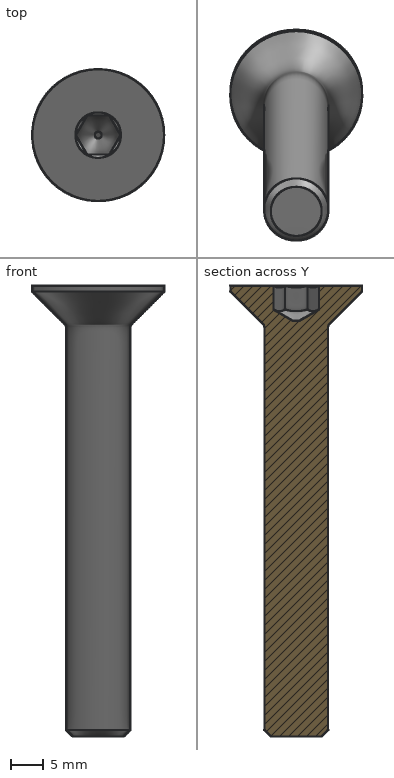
import cadquery as cq
import math

length = 70.0
head_diameter = 20.5
shank_diameter = 10.0
head_rim_height = 0.9
neck_fillet_radius = 0.55
tip_chamfer = 1.05

socket_across_flats = 6.0
socket_mouth_diameter = 7.1
socket_depth = 3.7
floor_cone_angle = 120.0
floor_flat_diameter = 1.05
mouth_cone_angle = 120.0

z_top = length / 2
z_bottom = -length / 2
head_radius = head_diameter / 2
shank_radius = shank_diameter / 2


def make_body():
    """Revolve the screw outline; the 45 degree head blends into the shank."""
    diagonal = math.sin(math.radians(45))
    neck_start_radius = shank_radius + neck_fillet_radius * (1 - diagonal)
    rim_bottom = z_top - head_rim_height
    neck_start = rim_bottom - (head_radius - neck_start_radius)
    neck_end = neck_start - neck_fillet_radius * diagonal

    middle_angle = math.radians(22.5)
    neck_middle_radius = shank_radius + neck_fillet_radius * (1 - math.cos(middle_angle))
    neck_middle = neck_end + neck_fillet_radius * math.sin(middle_angle)

    return (
        cq.Workplane("XZ")
        .moveTo(0, z_top)
        .lineTo(head_radius, z_top)
        .lineTo(head_radius, rim_bottom)
        .lineTo(neck_start_radius, neck_start)
        .threePointArc((neck_middle_radius, neck_middle), (shank_radius, neck_end))
        .lineTo(shank_radius, z_bottom + tip_chamfer)
        .lineTo(shank_radius - tip_chamfer, z_bottom)
        .lineTo(0, z_bottom)
        .close()
        .revolve(360, (0, 0, 0), (0, 1, 0))
    )


def make_cone(wide_radius, narrow_radius, wide_z, cone_angle):
    """Solid cone that narrows downward from wide_z."""
    height = (wide_radius - narrow_radius) / math.tan(math.radians(cone_angle / 2))
    return cq.Workplane(cq.Solid.makeCone(
        wide_radius, narrow_radius, height, cq.Vector(0, 0, wide_z), cq.Vector(0, 0, -1)
    ))


def make_socket():
    """Hexagonal recess with flats facing +Y and -Y."""
    corner_radius = socket_across_flats / 2 / math.cos(math.radians(30))
    flat_radius = socket_across_flats / 2
    mouth_radius = socket_mouth_diameter / 2
    floor_radius = floor_flat_diameter / 2
    floor_top = z_top - socket_depth

    floor = make_cone(corner_radius, floor_radius, floor_top, floor_cone_angle)
    shaft = cq.Workplane("XY", origin=(0, 0, floor_top)).circle(corner_radius).extrude(socket_depth)
    hexagon = (
        cq.Workplane("XY", origin=(0, 0, z_top))
        .polygon(6, 2 * corner_radius)
        .extrude(-2 * socket_depth)
    )
    recess = hexagon.intersect(shaft.union(floor))
    mouth = make_cone(mouth_radius, flat_radius, z_top, mouth_cone_angle)
    return recess.union(mouth)


result = make_body().cut(make_socket())